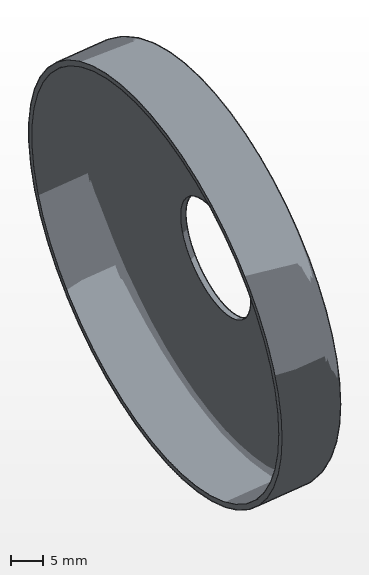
import cadquery as cq

outer_diameter = 76.0
height = 12.0
wall = 1.0
outer_fillet = 3.0
hole_diameter = 21.0

inner_diameter = outer_diameter - 2 * wall
inner_fillet = outer_fillet - wall
cavity_depth = height - wall


def rounded_disc(diameter, thickness, fillet):
    """Disc growing from the XZ plane toward +Y, with its +Y edge rounded."""
    disc = cq.Workplane("XZ").circle(diameter / 2).extrude(-thickness)
    return disc.faces(">Y").edges().fillet(fillet)


shell = rounded_disc(outer_diameter, height, outer_fillet).cut(
    rounded_disc(inner_diameter, cavity_depth, inner_fillet)
)

center_hole = cq.Workplane("XZ").circle(hole_diameter / 2).extrude(-height)
cover = shell.cut(center_hole)

result = cover.translate((0, -height / 2, 0))